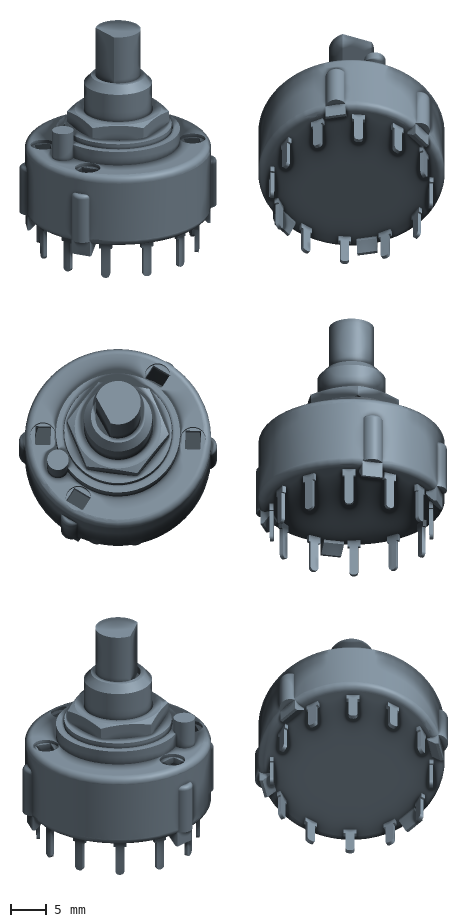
import cadquery as cq
import math


pin_shoulder_bottom = 4.38
housing_bottom = 5.35
housing_top = 15.9
boss_top = 17.9
washer_top = 18.6
nut_top = 20.9
locating_post_top = 19.95
bushing_top = 26.0
shaft_top = 32.9

housing_diameter = 26.0
housing_fillet = 1.0
boss_diameter = 17.3
bushing_diameter = 9.5
bushing_chamfer_width = 1.0
bushing_chamfer_height = 1.1
shaft_diameter = 6.32
shaft_flat_offset = 2.3
shaft_flat_depth_in_bushing = 1.0

locating_post_diameter = 3.0
locating_post_offset = 9.5

washer_diameter = 15.0
seat_diameter = 15.3
seat_depth = 0.33
nut_across_corners = 14.28
nut_rotation = -6.0
nut_face_diameter = 12.07
nut_chamfer_height = 0.43
nut_bore_chamfer = 0.15

first_clip_angles = (60, 240)
mirrored_clip_angles = (120, 300)
rib_diameter = 3.0
rib_offset = 12.3
rib_top = 12.95
rib_bottom = 5.9
rib_fillet = 0.55
leg_bottom = 3.65
leg_outer_offset = 12.83
leg_width = 2.85
leg_depth = 1.6
leg_tip_depth = 0.4
leg_skew = 5.6
leg_slope_height = 1.28
pocket_offset = 10.45
pocket_diameter = 3.55
pocket_depth = 0.5
slot_radial_length = 2.17
slot_width = 2.7

cavity_diameter = 23.7
end_wall = 1.3
cavity_floor = housing_bottom + end_wall
cavity_ceiling = housing_top - end_wall

pin_count = 12
first_pin_angle = 15.0
pin_ring_radius = 11.12
pin_width = 1.22
pin_shoulder_width = 1.8
pin_thickness = 0.53
pin_tip_radius = 0.53


def cylinder(diameter, bottom, top):
    return cq.Workplane("XY").workplane(offset=bottom).circle(diameter / 2).extrude(top - bottom)


def at_angle(shape, angle):
    return shape.rotate((0, 0, 0), (0, 0, 1), angle)


def make_drum():
    drum = cylinder(housing_diameter, housing_bottom, housing_top)
    return drum.faces("<Z or >Z").edges().fillet(housing_fillet)


def make_boss():
    boss = cylinder(boss_diameter, housing_top, boss_top)
    seat = cylinder(seat_diameter, boss_top - seat_depth, boss_top)
    return boss.cut(seat)


def make_bushing():
    """Stepped stem with a conical upper edge."""
    radius = bushing_diameter / 2
    return (
        cq.Workplane("XZ")
        .moveTo(0, housing_top)
        .lineTo(radius, housing_top)
        .lineTo(radius, bushing_top - bushing_chamfer_height)
        .lineTo(radius - bushing_chamfer_width, bushing_top)
        .lineTo(0, bushing_top)
        .close()
        .revolve(360, (0, 0), (0, 1))
    )


def make_shaft():
    return cylinder(shaft_diameter, bushing_top, shaft_top)


def make_shaft_flat_cut():
    """Segment between the flat and the shaft surface, reaching down inside the bushing mouth."""
    bottom = bushing_top - shaft_flat_depth_in_bushing
    beyond_flat = (
        cq.Workplane("XY")
        .workplane(offset=bottom)
        .center(0, -shaft_flat_offset - shaft_diameter / 2)
        .rect(shaft_diameter, shaft_diameter)
        .extrude(shaft_top - bottom)
    )
    return cylinder(shaft_diameter, bottom, shaft_top).intersect(beyond_flat)


def make_cavity():
    return cylinder(cavity_diameter, cavity_floor, cavity_ceiling)


def make_locating_post():
    post = cylinder(locating_post_diameter, housing_top, locating_post_top)
    return post.translate((0, -locating_post_offset, 0))


def make_rib():
    rib = cylinder(rib_diameter, rib_bottom, rib_top).faces(">Z").edges().fillet(rib_fillet)
    return rib.translate((rib_offset, 0, 0))


def make_leg(skew):
    """Leg on the +X axis: its sides run inward at a skew angle and its inner face slopes to the tip."""
    inner = leg_outer_offset - leg_depth
    side_shift = leg_depth * math.tan(math.radians(skew))
    half_width = leg_width / 2
    side_profile = (
        cq.Workplane("XZ")
        .moveTo(leg_outer_offset, rib_bottom)
        .lineTo(leg_outer_offset, leg_bottom)
        .lineTo(leg_outer_offset - leg_tip_depth, leg_bottom)
        .lineTo(inner, leg_bottom + leg_slope_height)
        .lineTo(inner, rib_bottom)
        .close()
        .extrude(leg_width, both=True)
    )
    plan = (
        cq.Workplane("XY")
        .workplane(offset=leg_bottom)
        .moveTo(leg_outer_offset, -half_width)
        .lineTo(leg_outer_offset, half_width)
        .lineTo(inner, half_width - side_shift)
        .lineTo(inner, -half_width - side_shift)
        .close()
        .extrude(rib_bottom - leg_bottom)
    )
    return side_profile.intersect(plan)


def make_pocket():
    """Round recess with a rectangular slot from its floor down to the cavity."""
    recess = cylinder(pocket_diameter, housing_top - pocket_depth, housing_top)
    slot = (
        cq.Workplane("XY")
        .workplane(offset=cavity_ceiling)
        .rect(slot_radial_length, slot_width)
        .extrude(end_wall)
    )
    round_limit = cylinder(pocket_diameter, cavity_ceiling, housing_top)
    return recess.union(slot.intersect(round_limit)).translate((pocket_offset, 0, 0))


def make_pin():
    """Flat terminal on the +X axis: a wide shoulder and a narrow blade with a rounded tip."""
    shoulder_height = housing_bottom - pin_shoulder_bottom
    shoulder = cq.Workplane("XY").box(
        pin_thickness, pin_shoulder_width, shoulder_height, centered=(True, True, False)
    )
    blade = cq.Workplane("XY").box(
        pin_thickness, pin_width, pin_shoulder_bottom, centered=(True, True, False)
    )
    blade = blade.faces("<Z").edges("|X").fillet(pin_tip_radius)
    pin = blade.union(shoulder.translate((0, 0, pin_shoulder_bottom)))
    return pin.translate((pin_ring_radius, 0, 0))


def add_clip(switch, angle, skew):
    switch = switch.union(at_angle(make_rib(), angle))
    switch = switch.union(at_angle(make_leg(skew), angle))
    return switch.cut(at_angle(make_pocket(), angle))


def make_switch():
    switch = make_drum()
    switch = switch.union(make_boss())
    switch = switch.union(make_locating_post())
    switch = switch.union(make_bushing())
    switch = switch.union(make_shaft())
    switch = switch.cut(make_shaft_flat_cut())
    for angle in first_clip_angles:
        switch = add_clip(switch, angle, leg_skew)
    for angle in mirrored_clip_angles:
        switch = add_clip(switch, angle, -leg_skew)
    switch = switch.cut(make_cavity())
    for index in range(pin_count):
        switch = switch.union(at_angle(make_pin(), first_pin_angle + index * 360 / pin_count))
    return switch


def make_nut_envelope():
    """Round blank whose two conical ends bevel the corners of the hexagon."""
    face_radius = nut_face_diameter / 2
    corner_radius = nut_across_corners / 2
    return (
        cq.Workplane("XZ")
        .moveTo(0, washer_top)
        .lineTo(face_radius, washer_top)
        .lineTo(corner_radius, washer_top + nut_chamfer_height)
        .lineTo(corner_radius, nut_top - nut_chamfer_height)
        .lineTo(face_radius, nut_top)
        .lineTo(0, nut_top)
        .close()
        .revolve(360, (0, 0), (0, 1))
    )


def make_nut():
    """Hexagonal nut with its washer face, fitted over the bushing and into the seat."""
    hexagon = (
        cq.Workplane("XY")
        .workplane(offset=washer_top)
        .polygon(6, nut_across_corners)
        .extrude(nut_top - washer_top)
    )
    hexagon = at_angle(hexagon, nut_rotation).intersect(make_nut_envelope())
    washer = cylinder(washer_diameter, boss_top - seat_depth, washer_top)
    bore = cylinder(bushing_diameter, boss_top - seat_depth, nut_top)
    nut = hexagon.union(washer).cut(bore)
    bore_edge = cq.selectors.RadiusNthSelector(0)
    return nut.faces(">Z").edges(bore_edge).chamfer(nut_bore_chamfer)


switch = make_switch()
nut = make_nut()

result = cq.Compound.makeCompound([switch.val(), nut.val()])